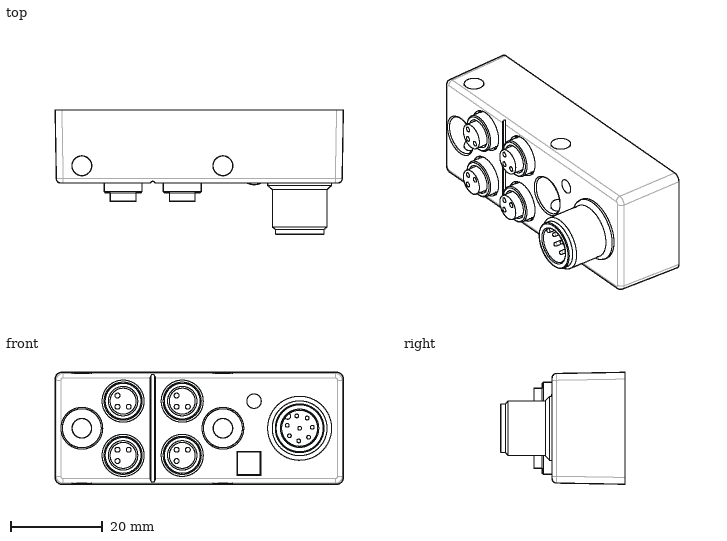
import cadquery as cq
import math

LENGTH = 63.0
HEIGHT = 24.5
DEPTH = 16.0
DRAFT_ANGLE = 1.0
SIDE_EDGE_RADIUS = 1.5
FRONT_EDGE_RADIUS = 1.0

MOUNT_X = (-25.65, 5.15)
MOUNT_DIAMETER = 4.2
COUNTERBORE_DIAMETER = 8.5
COUNTERBORE_DEPTH = 13.0
COUNTERBORE_CHAMFER = 0.3
CROSS_HOLE_DIAMETER = 4.3
CROSS_HOLE_SETBACK = 3.8

SOCKET_X = (-16.65, -3.7)
SOCKET_Z = 5.9
RECESS_DIAMETER = 9.2
RECESS_DEPTH = 1.25
RING_OUTER_DIAMETER = 8.3
RING_INNER_DIAMETER = 6.4
RING_HEIGHT = 2.15
RING_CHAMFER = 0.25
PLUG_DIAMETER = 5.7
PLUG_HEIGHT = 4.0
CONTACT_DIAMETER = 1.1
CONTACT_DEPTH = 2.5
CONTACT_OFFSET = 1.23

CONNECTOR_X = 21.9
FLANGE_DIAMETER = 14.0
FLANGE_RIM_HEIGHT = 0.5
FLANGE_HEIGHT = 1.45
BARREL_DIAMETER = 12.0
BARREL_HEIGHT = 9.6
NOSE_DIAMETER = 10.65
NOSE_START = 10.15
CONNECTOR_HEIGHT = 11.3
NOSE_CHAMFER = 0.2
BORE_DIAMETER = 7.9
BORE_CHAMFER = 0.25
BORE_DEPTH = 8.2
KEY_DIAMETER = 1.3
KEY_ANGLE = 135.0
KEY_CENTRE_RADIUS = 3.7
KEY_SETBACK = 0.5
PIN_DIAMETER = 0.8
PIN_HEIGHT = 5.85
PIN_CIRCLE_RADIUS = 2.8
OUTER_PIN_COUNT = 7
PIN_PITCH_ANGLE = 49.4

GROOVE_X = -10.15
GROOVE_WIDTH = 1.15
GROOVE_DEPTH = 0.4
GROOVE_FLOOR_WIDTH = 0.7
GROOVE_LIP_DEPTH = 0.16
FRAME_X = 10.85
FRAME_Z = -7.7
FRAME_SIZE = 5.3
FRAME_LINE_WIDTH = 0.2
FRAME_LINE_DEPTH = 0.2
LAMP_X = 12.0
LAMP_Z = 5.9
LAMP_DIAMETER = 3.15
LAMP_HEIGHT = 0.4


def front_plane(x=0.0, z=0.0, height=0.0):
    """Plane parallel to the front face, `height` above it, with its normal toward -Y."""
    return cq.Workplane("XZ", origin=(x, -DEPTH - height, z))


def cylinder(x, z, diameter, bottom, top):
    """Cylinder along Y between two heights above the front face."""
    return front_plane(x, z, bottom).circle(diameter / 2).extrude(top - bottom)


def revolved(x, z, profile):
    """Turn a (radius, height) profile about the Y axis through (x, z) on the front face."""
    return (
        cq.Workplane("XY", origin=(x, -DEPTH, z))
        .polyline([(radius, -height) for radius, height in profile])
        .close()
        .revolve(360, (0, 0, 0), (0, 1, 0))
    )


def counterbore(x):
    """Blind round cutter whose mouth is opened by a chamfer."""
    radius = COUNTERBORE_DIAMETER / 2
    return revolved(x, 0, [
        (0, 0),
        (radius + COUNTERBORE_CHAMFER, 0),
        (radius, -COUNTERBORE_CHAMFER),
        (radius, -COUNTERBORE_DEPTH),
        (0, -COUNTERBORE_DEPTH),
    ])


def housing():
    body = cq.Workplane("XZ").rect(LENGTH, HEIGHT).extrude(DEPTH, taper=DRAFT_ANGLE)
    body = body.edges("not(#Y)").fillet(SIDE_EDGE_RADIUS)
    return body.faces("<Y").edges().fillet(FRONT_EDGE_RADIUS)


def cut_mounting_holes(body):
    for x in MOUNT_X:
        body = body.cut(cylinder(x, 0, MOUNT_DIAMETER, -DEPTH, 0))
        body = body.cut(counterbore(x))
        cross_hole = (
            cq.Workplane("XY", origin=(x, CROSS_HOLE_SETBACK - DEPTH, 0))
            .circle(CROSS_HOLE_DIAMETER / 2)
            .extrude(HEIGHT, both=True)
        )
        body = body.cut(cross_hole)
    return body


def socket(x, z, outward):
    """Ring and plug; two contacts lie toward the housing middle and one away from it."""
    ring_radius = RING_OUTER_DIAMETER / 2
    bore_radius = RING_INNER_DIAMETER / 2
    ring = revolved(x, z, [
        (bore_radius, -RECESS_DEPTH),
        (ring_radius, -RECESS_DEPTH),
        (ring_radius, RING_HEIGHT - RING_CHAMFER),
        (ring_radius - RING_CHAMFER, RING_HEIGHT),
        (bore_radius, RING_HEIGHT),
    ])
    contacts = (
        front_plane(x, z, PLUG_HEIGHT)
        .pushPoints([
            (-CONTACT_OFFSET, CONTACT_OFFSET * outward),
            (-CONTACT_OFFSET, -CONTACT_OFFSET * outward),
            (CONTACT_OFFSET, -CONTACT_OFFSET * outward),
        ])
        .circle(CONTACT_DIAMETER / 2)
        .extrude(-CONTACT_DEPTH)
    )
    plug = cylinder(x, z, PLUG_DIAMETER, -RECESS_DEPTH, PLUG_HEIGHT).cut(contacts)
    return ring, plug


def add_sockets(body):
    for x in SOCKET_X:
        for outward in (1, -1):
            z = SOCKET_Z * outward
            body = body.cut(cylinder(x, z, RECESS_DIAMETER, -RECESS_DEPTH, 0))
            for piece in socket(x, z, outward):
                body = body.union(piece)
    return body


def connector_pin(x, z, bottom):
    pin = cylinder(x, z, PIN_DIAMETER, bottom, PIN_HEIGHT + bottom)
    tip = cq.Workplane("XY", origin=(x, -DEPTH - PIN_HEIGHT - bottom, z)).sphere(PIN_DIAMETER / 2)
    return pin.union(tip)


def connector():
    bore_bottom = CONNECTOR_HEIGHT - BORE_DEPTH
    bore_radius = BORE_DIAMETER / 2
    shell = revolved(CONNECTOR_X, 0, [
        (0, 0),
        (FLANGE_DIAMETER / 2, 0),
        (FLANGE_DIAMETER / 2, FLANGE_RIM_HEIGHT),
        (BARREL_DIAMETER / 2, FLANGE_HEIGHT),
        (BARREL_DIAMETER / 2, BARREL_HEIGHT),
        (NOSE_DIAMETER / 2, NOSE_START),
        (NOSE_DIAMETER / 2, CONNECTOR_HEIGHT - NOSE_CHAMFER),
        (NOSE_DIAMETER / 2 - NOSE_CHAMFER, CONNECTOR_HEIGHT),
        (bore_radius + BORE_CHAMFER, CONNECTOR_HEIGHT),
        (bore_radius, CONNECTOR_HEIGHT - BORE_CHAMFER),
        (bore_radius, bore_bottom),
        (0, bore_bottom),
    ])
    key_angle = math.radians(KEY_ANGLE)
    key_x = CONNECTOR_X + KEY_CENTRE_RADIUS * math.cos(key_angle)
    key_z = KEY_CENTRE_RADIUS * math.sin(key_angle)
    key_top = CONNECTOR_HEIGHT - KEY_SETBACK
    shell = shell.union(cylinder(key_x, key_z, KEY_DIAMETER, bore_bottom, key_top))

    shell = shell.union(connector_pin(CONNECTOR_X, 0, bore_bottom))
    for index in range(OUTER_PIN_COUNT):
        steps_from_middle = index - (OUTER_PIN_COUNT - 1) / 2
        angle = math.radians(KEY_ANGLE + 180 + PIN_PITCH_ANGLE * steps_from_middle)
        pin_x = CONNECTOR_X + PIN_CIRCLE_RADIUS * math.cos(angle)
        pin_z = PIN_CIRCLE_RADIUS * math.sin(angle)
        shell = shell.union(connector_pin(pin_x, pin_z, bore_bottom))
    return shell


def dividing_groove():
    """Round-bottomed groove with bevelled lips, running the full height of the front face."""
    return (
        cq.Workplane("XY", origin=(GROOVE_X, -DEPTH, 0))
        .moveTo(-GROOVE_WIDTH / 2, 0)
        .lineTo(-GROOVE_FLOOR_WIDTH / 2, GROOVE_LIP_DEPTH)
        .threePointArc((0, GROOVE_DEPTH), (GROOVE_FLOOR_WIDTH / 2, GROOVE_LIP_DEPTH))
        .lineTo(GROOVE_WIDTH / 2, 0)
        .close()
        .extrude(HEIGHT, both=True)
    )


def square_frame():
    inner_size = FRAME_SIZE - 2 * FRAME_LINE_WIDTH
    return (
        front_plane(FRAME_X, FRAME_Z)
        .rect(FRAME_SIZE, FRAME_SIZE)
        .rect(inner_size, inner_size)
        .extrude(-FRAME_LINE_DEPTH)
    )


def lamp():
    """Shallow dome: the part of a sphere that stands in front of the face."""
    base_radius = LAMP_DIAMETER / 2
    sphere_radius = (base_radius**2 + LAMP_HEIGHT**2) / (2 * LAMP_HEIGHT)
    return (
        cq.Workplane("XY", origin=(LAMP_X, -DEPTH, LAMP_Z))
        .lineTo(base_radius, 0)
        .radiusArc((0, -LAMP_HEIGHT), sphere_radius)
        .close()
        .revolve(360, (0, 0, 0), (0, 1, 0))
    )


body = cut_mounting_holes(housing())
body = body.cut(dividing_groove()).cut(square_frame())
body = add_sockets(body)
result = body.union(connector()).union(lamp())